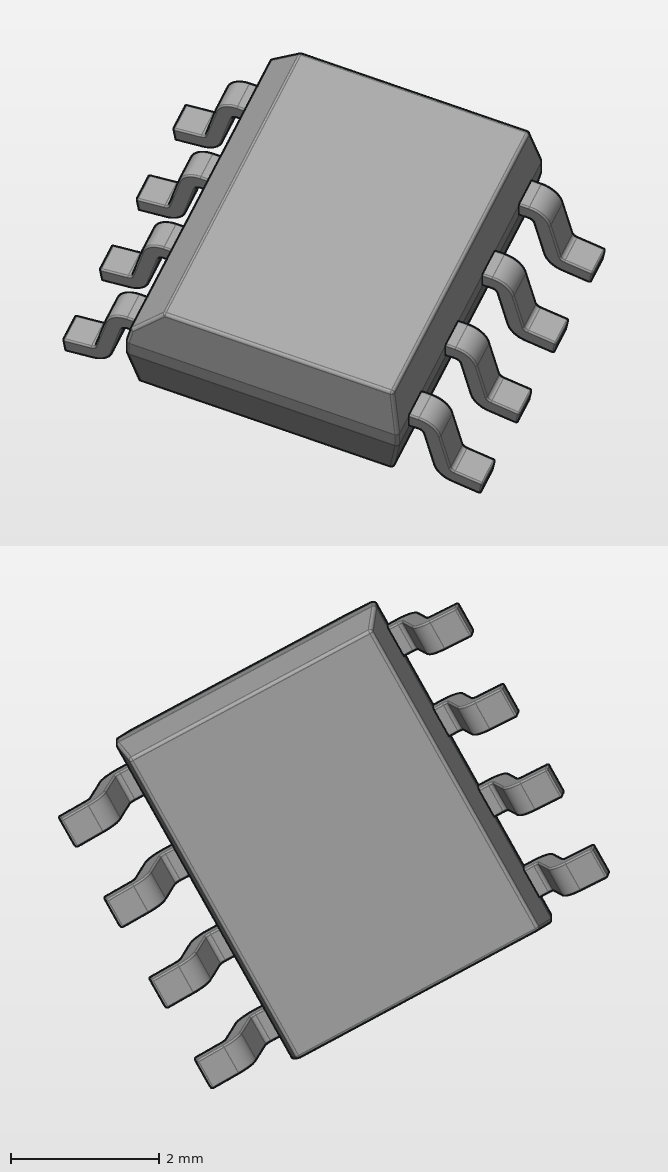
import cadquery as cq
import math

body_x = 4.0
body_y = 5.0
body_bottom = 0.25
band_bottom = 1.0
band_top = 1.25
body_top = 2.0
draft_angle = 10.0
bevel_drop = 0.5
bevel_run = 0.5
body_edge_radius = 0.05
selection_margin = 0.01

leads_per_side = 4
lead_pitch = 1.27
lead_width = 0.45
lead_thickness = 0.25
lead_edge_radius = 0.025
lead_span = 6.16
lead_embed = 0.2
bend_radius = 0.2
shoulder_x = 2.30
leg_angle = 13.0
foot_angle = 8.0


def make_body():
    """Block with a straight middle band, tapered above and below, and one long top edge beveled."""
    upper = (
        cq.Workplane("XY")
        .workplane(offset=band_top)
        .rect(body_x, body_y)
        .extrude(body_top - band_top, taper=draft_angle)
    )
    middle = (
        cq.Workplane("XY")
        .workplane(offset=band_bottom)
        .rect(body_x, body_y)
        .extrude(band_top - band_bottom)
    )
    lower = (
        cq.Workplane("XY")
        .workplane(offset=band_bottom)
        .rect(body_x, body_y)
        .extrude(body_bottom - band_bottom, taper=draft_angle)
    )
    body = upper.union(middle).union(lower)

    bevel_z = body_top - bevel_drop
    wall_x = -body_x / 2 + (bevel_z - band_top) * math.tan(math.radians(draft_angle))
    ridge_x = -body_x / 2 + bevel_run
    slope = bevel_drop / (ridge_x - wall_x)
    outside_x = -body_x / 2
    bevel_cut = (
        cq.Workplane("XZ")
        .moveTo(ridge_x, body_top)
        .lineTo(outside_x, body_top - slope * (ridge_x - outside_x))
        .lineTo(outside_x, body_top)
        .close()
        .extrude(body_y / 2, both=True)
    )
    body = body.cut(bevel_cut)

    band_top_edges = cq.selectors.BoxSelector(
        (-body_x, -body_y, band_top - selection_margin),
        (body_x, body_y, band_top + selection_margin),
    )
    return body.edges(cq.selectors.InverseSelector(band_top_edges)).fillet(body_edge_radius)


def make_lead():
    """One +X lead: a flat strip swept along its bent centerline."""
    leg = math.radians(leg_angle)
    foot = math.radians(foot_angle)
    shoulder_z = band_top - lead_thickness / 2

    corner_offset = lead_thickness / 2 - lead_edge_radius
    tip_x = (
        lead_span / 2
        - lead_edge_radius * (1 - math.cos(foot))
        - corner_offset * math.sin(foot)
    )
    tip_z = lead_edge_radius * (1 - math.sin(foot)) + corner_offset * math.cos(foot)

    rise = shoulder_z - tip_z - (tip_x - shoulder_x) * math.tan(foot)
    leg_drop = rise / (1 - math.tan(leg) * math.tan(foot))
    ankle_x = shoulder_x + leg_drop * math.tan(leg)
    ankle_z = shoulder_z - leg_drop

    root_x = body_x / 2 - lead_embed
    corners = [(root_x, shoulder_z), (shoulder_x, shoulder_z), (ankle_x, ankle_z), (tip_x, tip_z)]
    centerline = cq.Wire.makePolygon([cq.Vector(x, 0, z) for x, z in corners])
    centerline = centerline.fillet(bend_radius)
    lead = (
        cq.Workplane("YZ", origin=(root_x, 0, shoulder_z))
        .rect(lead_width, lead_thickness)
        .sweep(cq.Workplane(obj=centerline))
    )
    return lead.edges().fillet(lead_edge_radius)


def add_leads(body):
    lead = make_lead()
    opposite_lead = lead.mirror("YZ")
    first_y = -(leads_per_side - 1) / 2 * lead_pitch
    for index in range(leads_per_side):
        offset = (0, first_y + index * lead_pitch, 0)
        body = body.union(lead.translate(offset)).union(opposite_lead.translate(offset))
    return body


result = add_leads(make_body())